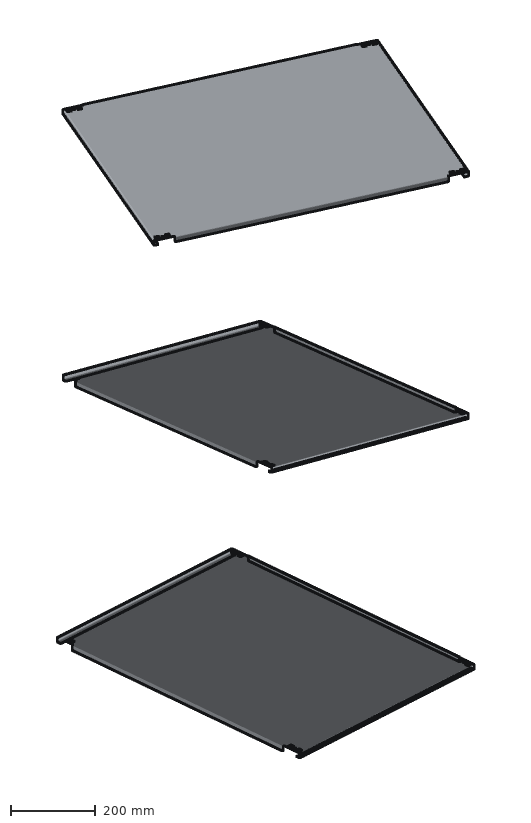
import cadquery as cq

length = 800.0
width = 599.0
height = 15.0
sheet = 2.0
bend_radius = 4.0

end_width = 590.0
lip_length = 12.0

flange_inset = 53.0
flange_corner_radius = 4.0

square_x = 286.0
square_size = 10.0
outer_square_inset = 13.0
square_pitch = 26.0
round_x = 287.0
round_diameter = 5.0

top = height / 2
bottom = -height / 2
flange_length = length - 2 * flange_inset
round_y = length / 2 - outer_square_inset - square_pitch / 2


def make_hemmed_plate():
    """C-section across the length, with rounded bends at both ends."""
    outer = (
        cq.Workplane("XY")
        .box(end_width, length, height)
        .edges("|X")
        .fillet(bend_radius)
    )
    inner = (
        cq.Workplane("XY")
        .box(end_width, length - 2 * sheet, height - 2 * sheet)
        .edges("|X")
        .fillet(bend_radius - sheet)
    )
    opening_height = height - sheet
    opening = (
        cq.Workplane("XY")
        .box(end_width, length - 2 * lip_length, opening_height)
        .translate((0, 0, bottom + opening_height / 2))
    )
    return outer.cut(inner).cut(opening)


def make_flanged_plate():
    """Middle stretch of the plate, bent down along both long sides."""
    outer = (
        cq.Workplane("XY")
        .box(width, flange_length, height)
        .edges("|Y and >Z")
        .fillet(bend_radius)
        .edges("|X and <Z")
        .fillet(flange_corner_radius)
    )
    inner_height = height - sheet
    inner = (
        cq.Workplane("XY")
        .box(width - 2 * sheet, flange_length, inner_height)
        .edges("|Y and >Z")
        .fillet(bend_radius - sheet)
        .translate((0, 0, bottom + inner_height / 2))
    )
    return outer.cut(inner)


def make_corner_holes(x_side, y_side):
    """Two square holes, and between them a small round hole."""
    square_centres = [
        (x_side * square_x, y_side * (round_y + square_pitch / 2)),
        (x_side * square_x, y_side * (round_y - square_pitch / 2)),
    ]
    sheet_bottom = cq.Workplane("XY").workplane(offset=top - sheet)
    squares = sheet_bottom.pushPoints(square_centres).rect(square_size, square_size).extrude(sheet)
    round_hole = (
        sheet_bottom.center(x_side * round_x, y_side * round_y)
        .circle(round_diameter / 2)
        .extrude(sheet)
    )
    return squares.union(round_hole)


result = make_hemmed_plate().union(make_flanged_plate())
for x_side in (-1, 1):
    for y_side in (-1, 1):
        result = result.cut(make_corner_holes(x_side, y_side))